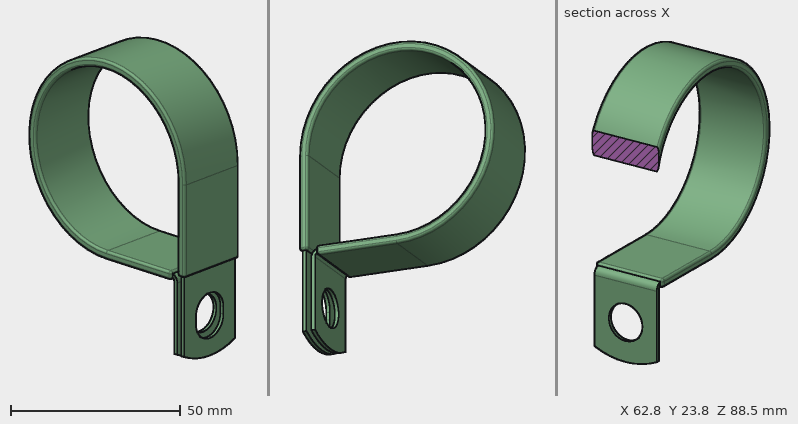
import cadquery as cq
import math

inch = 25.4
clamped_diameter = 2.25 * inch
strap_thickness = 0.048 * inch
strap_width = 7 / 8 * inch
cushion_thickness = inch / 32
leg_gap = inch / 16
bend_inner_radius = strap_thickness
bottom_cushion_end_x = 25.9
leg_end_depth = 2.25 * inch
leg_tip_radius = inch
hole_diameter = 15 / 32 * inch
slot_length = 9 / 16 * inch
hole_to_tip = inch / 2
slot_angle = 90
loop_middle_angle = 135
bend_middle_angle = 45

bore_radius = clamped_diameter / 2
strap_inner_radius = bore_radius + cushion_thickness
strap_outer_radius = strap_inner_radius + strap_thickness
cushion_outer_radius = strap_outer_radius + cushion_thickness
cushion_width = strap_width + 2 * cushion_thickness
bent_leg_outer_x = strap_inner_radius - leg_gap
bent_leg_inner_x = bent_leg_outer_x - strap_thickness
bend_x = bent_leg_inner_x - bend_inner_radius
bend_z = -strap_outer_radius - bend_inner_radius
bend_outer_radius = bend_inner_radius + strap_thickness
straight_cushion_end_z = -bore_radius - cushion_thickness
leg_gap_middle_x = bent_leg_outer_x + leg_gap / 2


def arc_point(center_x, center_z, radius, angle_degrees):
    """Point on a circle in the XZ plane, angle measured from +X towards +Z."""
    angle = math.radians(angle_degrees)
    return center_x + radius * math.cos(angle), center_z + radius * math.sin(angle)


def extrude_symmetric(profile, width):
    """Extrude a profile by half the width to each side of its plane."""
    return profile.extrude(width / 2, both=True)


def make_cushion():
    """Loop cushion: three quarters of a ring with two straight runs and rounded edges."""
    profile = (
        cq.Workplane("XZ")
        .moveTo(cushion_outer_radius, straight_cushion_end_z)
        .lineTo(cushion_outer_radius, 0)
        .threePointArc(arc_point(0, 0, cushion_outer_radius, loop_middle_angle), (0, -cushion_outer_radius))
        .lineTo(bottom_cushion_end_x, -cushion_outer_radius)
        .lineTo(bottom_cushion_end_x, -bore_radius)
        .lineTo(0, -bore_radius)
        .threePointArc(arc_point(0, 0, bore_radius, loop_middle_angle), (bore_radius, 0))
        .lineTo(bore_radius, straight_cushion_end_z)
        .close()
    )
    band = extrude_symmetric(profile, cushion_width)
    margin = cushion_thickness
    straight_end = cq.selectors.BoxSelector(
        (bore_radius - margin, -cushion_width, straight_cushion_end_z - margin),
        (cushion_outer_radius + margin, cushion_width, straight_cushion_end_z + margin),
    )
    bottom_end = cq.selectors.BoxSelector(
        (bottom_cushion_end_x - margin, -cushion_width, -cushion_outer_radius - margin),
        (bottom_cushion_end_x + margin, cushion_width, -bore_radius + margin),
    )
    side_edges = band.faces("<Y or >Y").edges()
    end_edges = band.edges(straight_end).add(band.edges(bottom_end))
    return side_edges.add(end_edges).fillet(cushion_thickness)


def make_strap():
    """Metal strap: loop, straight leg and bent leg, with arched tips and bolt holes."""
    bend_inner_middle = arc_point(bend_x, bend_z, bend_inner_radius, bend_middle_angle)
    bend_outer_middle = arc_point(bend_x, bend_z, bend_outer_radius, bend_middle_angle)
    profile = (
        cq.Workplane("XZ")
        .moveTo(strap_outer_radius, -leg_end_depth)
        .lineTo(strap_outer_radius, 0)
        .threePointArc(arc_point(0, 0, strap_outer_radius, loop_middle_angle), (0, -strap_outer_radius))
        .lineTo(bend_x, -strap_outer_radius)
        .threePointArc(bend_inner_middle, (bent_leg_inner_x, bend_z))
        .lineTo(bent_leg_inner_x, -leg_end_depth)
        .lineTo(bent_leg_outer_x, -leg_end_depth)
        .lineTo(bent_leg_outer_x, bend_z)
        .threePointArc(bend_outer_middle, (bend_x, -strap_inner_radius))
        .lineTo(0, -strap_inner_radius)
        .threePointArc(arc_point(0, 0, strap_inner_radius, loop_middle_angle), (strap_inner_radius, 0))
        .lineTo(strap_inner_radius, -leg_end_depth)
        .close()
    )
    strap = extrude_symmetric(profile, strap_width)
    bent_leg_hole = hole_sketch_plane(0).circle(hole_diameter / 2).extrude(leg_gap_middle_x)
    straight_leg_slot = (
        hole_sketch_plane(leg_gap_middle_x)
        .slot2D(slot_length, hole_diameter, slot_angle)
        .extrude(cushion_outer_radius - leg_gap_middle_x)
    )
    return strap.intersect(make_strap_outline()).cut(bent_leg_hole).cut(straight_leg_slot)


def make_strap_outline():
    """Block along X whose YZ outline is the strap width with an arched lower end."""
    half_width = strap_width / 2
    tip_corner_z = -leg_end_depth + leg_tip_radius - math.sqrt(leg_tip_radius**2 - half_width**2)
    return extrude_symmetric(
        cq.Workplane("YZ")
        .moveTo(-half_width, cushion_outer_radius)
        .lineTo(-half_width, tip_corner_z)
        .threePointArc((0, -leg_end_depth), (half_width, tip_corner_z))
        .lineTo(half_width, cushion_outer_radius)
        .close(),
        2 * cushion_outer_radius,
    )


def hole_sketch_plane(x):
    """YZ workplane at the given X, centred on the bolt axis."""
    return cq.Workplane("YZ", origin=(x, 0, -leg_end_depth + hole_to_tip))


result = make_cushion().union(make_strap())